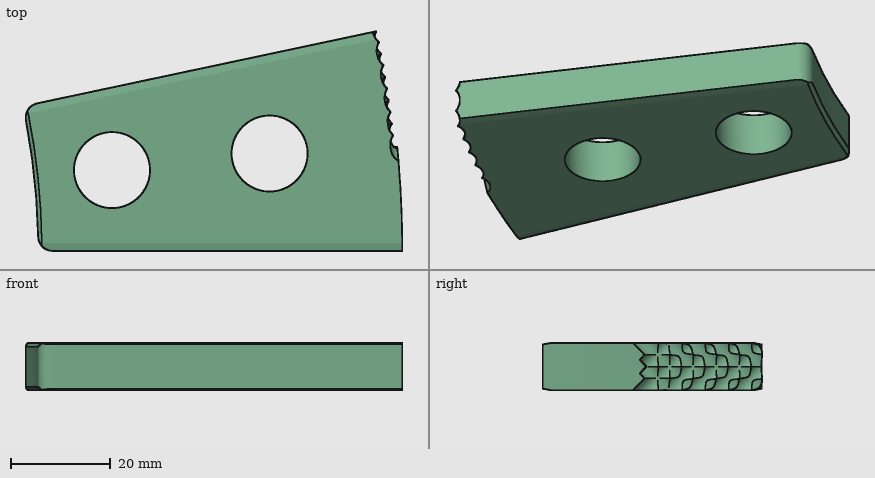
import cadquery as cq
import math

thickness = 9.49
outer_radius = 212.5
inner_radius = 139.5
sector_angle = 12.0
corner_radius = 3.0

inner_bevel = 0.75
side_bevel_width = 1.6
side_bevel_height = 0.3

hole_diameter = 15.2
hole_radii = (155.15, 186.9)

groove_slope = 45.0
groove_radius = 2.1
groove_depth = 1.4
groove_pitch = thickness / 2
groove_step = math.degrees(groove_pitch / outer_radius)
first_groove_angle = 5.64
overrun = 5.0


def polar(radius, angle):
    """Point at a radius and an angle in degrees around the ring centre."""
    return radius * math.cos(math.radians(angle)), radius * math.sin(math.radians(angle))


def bevelled_sector():
    """Ring segment with both edges of its inner arc bevelled."""
    profile = (
        cq.Workplane("XZ")
        .moveTo(inner_radius + inner_bevel, 0)
        .lineTo(outer_radius, 0)
        .lineTo(outer_radius, thickness)
        .lineTo(inner_radius + inner_bevel, thickness)
        .lineTo(inner_radius, thickness - inner_bevel)
        .lineTo(inner_radius, inner_bevel)
        .close()
    )
    return profile.revolve(sector_angle, (0, 0, 0), (0, 1, 0))


def rounded_sector():
    """Plain ring segment whose two inner corners are rounded."""
    half_angle = sector_angle / 2
    sector = (
        cq.Workplane("XY")
        .moveTo(inner_radius, 0)
        .lineTo(outer_radius, 0)
        .threePointArc(polar(outer_radius, half_angle), polar(outer_radius, sector_angle))
        .lineTo(*polar(inner_radius, sector_angle))
        .threePointArc(polar(inner_radius, half_angle), (inner_radius, 0))
        .close()
        .extrude(thickness)
    )
    inner_corners = cq.selectors.BoxSelector(
        (0, -overrun, -overrun),
        (inner_radius + overrun, outer_radius, thickness + overrun),
    )
    return sector.edges("|Z").edges(inner_corners).fillet(corner_radius)


def side_bevels():
    """Wedges that bevel the top and bottom edges of the side on the X axis."""
    upper = (
        cq.Workplane("YZ")
        .moveTo(0, thickness - side_bevel_height)
        .lineTo(side_bevel_width, thickness)
        .lineTo(0, thickness)
        .close()
        .extrude(outer_radius + overrun)
    )
    return upper.union(upper.mirror("XY", (0, 0, thickness / 2)))


def groove(start_angle, start_height, run_in):
    """Round groove cutter that starts at a place on the outer arc and leans down towards +Y."""
    length = 2 * thickness / math.cos(math.radians(groove_slope))
    return (
        cq.Workplane("XY")
        .workplane(offset=run_in)
        .circle(groove_radius)
        .extrude(-length - run_in)
        .rotate((0, 0, 0), (1, 0, 0), groove_slope)
        .translate((outer_radius - groove_depth + groove_radius, 0, start_height))
        .rotate((0, 0, 0), (0, 0, 1), start_angle)
    )


def cut_knurl(body):
    """Cut the grooves that lean down and their mirror images that lean up."""
    falling_grooves = [groove(first_groove_angle, thickness / 2, 0)]
    count = math.ceil((sector_angle - first_groove_angle) / groove_step) + 1
    for index in range(count):
        top_angle = first_groove_angle + index * groove_step
        falling_grooves.append(groove(top_angle, thickness, overrun))
    for cutter in falling_grooves:
        body = body.cut(cutter)
        body = body.cut(cutter.mirror("XY", (0, 0, thickness / 2)))
    return body


def cut_holes(body):
    """Cut the two through holes on the centre line of the segment."""
    centres = [polar(radius, sector_angle / 2) for radius in hole_radii]
    holes = cq.Workplane("XY").pushPoints(centres).circle(hole_diameter / 2).extrude(thickness)
    return body.cut(holes)


lower_bevels = side_bevels()
upper_bevels = lower_bevels.mirror("XZ").rotate((0, 0, 0), (0, 0, 1), sector_angle)

segment = bevelled_sector().intersect(rounded_sector())
segment = segment.cut(lower_bevels).cut(upper_bevels)
segment = cut_holes(segment)
result = cut_knurl(segment)